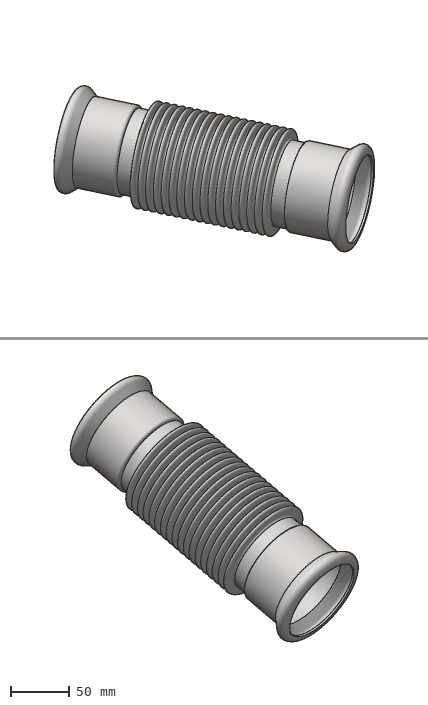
import cadquery as cq
import math

length = 262.0
outer_diameter = 94.5
wall = 1.96

socket_bore = 76.8
mouth_bore = 78.0
bead_radius = 5.5
flare_angle = math.radians(39)
lead_in_length = 1.3
socket_depth = 53.2

neck_bore = 72.0

rib_count = 18
bellows_length = 126.0

tab_disc_diameter = 10.0
tab_bar_width = 4.0
tab_thickness = 4.0

end_x = -length / 2
outer_radius = outer_diameter / 2
mouth_radius = mouth_bore / 2
socket_inner_radius = socket_bore / 2
socket_outer_radius = socket_inner_radius + wall
neck_inner_radius = neck_bore / 2
neck_outer_radius = neck_inner_radius + wall
shoulder_radius = socket_outer_radius - neck_outer_radius
rib_pitch = bellows_length / rib_count
rib_radius = rib_pitch / 4


def polar(center, radius, angle):
    """Point at an angle from the radial direction, positive towards +X."""
    x = center[0] + radius * math.sin(angle)
    r = center[1] + radius * math.cos(angle)
    return (x, r)


def revolve_about_x(profile):
    return profile.close().revolve(360, (0, 0, 0), (1, 0, 0))


def make_left_fitting():
    """Socket with a hollow rolled bead at its mouth and a neck towards the bellows."""
    bead_center = (end_x + bead_radius, outer_radius - bead_radius)
    cavity_radius = bead_radius - wall
    lip_inner_x = end_x + wall
    arc_middle = (flare_angle - math.pi / 2) / 2

    flare_outer = polar(bead_center, bead_radius, flare_angle)
    flare_inner = polar(bead_center, cavity_radius, flare_angle)
    slope = math.tan(flare_angle)
    flare_end_x = flare_outer[0] + (flare_outer[1] - socket_outer_radius) / slope
    lead_in_x = flare_inner[0] + (flare_inner[1] - mouth_radius) / slope

    stop_x = end_x + socket_depth
    shoulder_center = (stop_x, neck_outer_radius)
    neck_end_x = -bellows_length / 2

    profile = (
        cq.Workplane("XY")
        .moveTo(end_x, mouth_radius)
        .lineTo(end_x, bead_center[1])
        .threePointArc(polar(bead_center, bead_radius, arc_middle), flare_outer)
        .lineTo(flare_end_x, socket_outer_radius)
        .lineTo(stop_x, socket_outer_radius)
        .threePointArc(
            polar(shoulder_center, shoulder_radius, math.pi / 4),
            (stop_x + shoulder_radius, neck_outer_radius),
        )
        .lineTo(neck_end_x, neck_outer_radius)
        .lineTo(neck_end_x, neck_inner_radius)
        .lineTo(stop_x, neck_inner_radius)
        .lineTo(stop_x, socket_inner_radius)
        .lineTo(lead_in_x + lead_in_length, socket_inner_radius)
        .lineTo(lead_in_x, mouth_radius)
        .lineTo(*flare_inner)
        .threePointArc(
            polar(bead_center, cavity_radius, arc_middle), (lip_inner_x, bead_center[1])
        )
        .lineTo(lip_inner_x, mouth_radius)
    )
    return revolve_about_x(profile)


def make_stop_tab():
    """Flat disc on the axis, carried by a bar that reaches the wall on the +Y side."""
    bar_length = (neck_inner_radius + neck_outer_radius) / 2
    plane = cq.Workplane("YZ").workplane(offset=-tab_thickness / 2)
    disc = plane.circle(tab_disc_diameter / 2).extrude(tab_thickness)
    bar = plane.center(bar_length / 2, 0).rect(bar_length, tab_bar_width).extrude(tab_thickness)
    return disc.union(bar)


def make_bellows():
    """Corrugated sleeve with a plain bore and the stop tab inside it."""
    root_radius = neck_outer_radius
    flank_bottom = root_radius + rib_radius
    flank_top = outer_radius - rib_radius
    arc_reach = rib_radius * math.sin(math.pi / 4)

    start_x = -bellows_length / 2
    profile = cq.Workplane("XY").moveTo(start_x, neck_inner_radius).lineTo(start_x, root_radius)
    for index in range(rib_count):
        rib_x = start_x + (index + 0.5) * rib_pitch
        left_x = rib_x - rib_radius
        right_x = rib_x + rib_radius
        profile = (
            profile.threePointArc(
                (left_x - rib_radius + arc_reach, flank_bottom - arc_reach), (left_x, flank_bottom)
            )
            .lineTo(left_x, flank_top)
            .threePointArc((rib_x, outer_radius), (right_x, flank_top))
            .lineTo(right_x, flank_bottom)
            .threePointArc(
                (right_x + rib_radius - arc_reach, flank_bottom - arc_reach),
                (right_x + rib_radius, root_radius),
            )
        )
    profile = profile.lineTo(-start_x, neck_inner_radius)
    return revolve_about_x(profile).union(make_stop_tab())


left_fitting = make_left_fitting()
right_fitting = left_fitting.mirror("YZ")
bellows = make_bellows()

result = cq.Compound.makeCompound([left_fitting.val(), bellows.val(), right_fitting.val()])